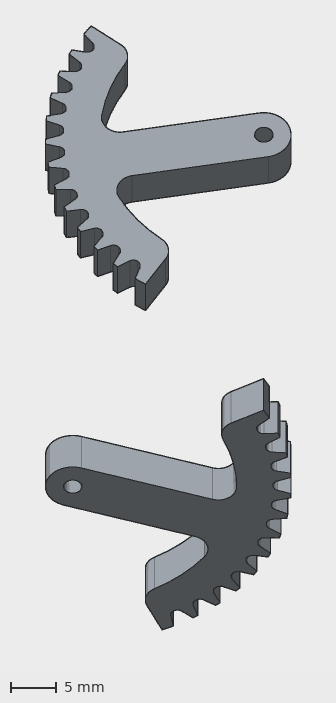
import cadquery as cq
import math

thickness = 5.0
tip_radius = 24.0
tooth_depth = 2.0
root_radius = tip_radius - tooth_depth
rim_inner_radius = 18.0
gear_tooth_count = 48
gap_count = 12
tooth_pitch = 360.0 / gear_tooth_count
end_margin = 2.5
sector_angle = gap_count * tooth_pitch + 2 * end_margin
arm_direction = 225.0

arm_half_width = 3.0
pivot_hole_diameter = 2.0

gap_root_half_width = 0.53
flank_angle = 20.0
gap_root_fillet = 0.75
gap_overrun = 0.5

rim_corner_fillet = 2.0
arm_base_fillet = 2.0


def polar(radius, angle):
    return (radius * math.cos(math.radians(angle)), radius * math.sin(math.radians(angle)))


def make_rim():
    """Annular sector centred on the -X axis, with rounded inner corners."""
    start = 180.0 - sector_angle / 2
    end = 180.0 + sector_angle / 2
    rim = (
        cq.Workplane("XY")
        .moveTo(*polar(rim_inner_radius, start))
        .lineTo(*polar(tip_radius, start))
        .threePointArc((-tip_radius, 0), polar(tip_radius, end))
        .lineTo(*polar(rim_inner_radius, end))
        .threePointArc((-rim_inner_radius, 0), polar(rim_inner_radius, start))
        .close()
        .extrude(thickness)
    )
    for angle in (start, end):
        x, y = polar(rim_inner_radius, angle)
        corner = cq.selectors.NearestToPointSelector((x, y, thickness / 2))
        rim = rim.edges("|Z").edges(corner).fillet(rim_corner_fillet)
    return rim


def make_arm():
    """Straight arm along -X with a round pivot end, reaching into the rim."""
    reach = (rim_inner_radius + root_radius) / 2
    return (
        cq.Workplane("XY")
        .moveTo(-reach, arm_half_width)
        .lineTo(0, arm_half_width)
        .threePointArc((arm_half_width, 0), (0, -arm_half_width))
        .lineTo(-reach, -arm_half_width)
        .close()
        .extrude(thickness)
    )


def fillet_arm_base(body):
    """Round the two inside corners where the arm meets the rim."""
    base_x = -math.sqrt(rim_inner_radius**2 - arm_half_width**2)
    for side in (1, -1):
        corner = cq.selectors.NearestToPointSelector((base_x, side * arm_half_width, thickness / 2))
        body = body.edges("|Z").edges(corner).fillet(arm_base_fillet)
    return body


def make_gap():
    """Cutter for one tooth gap on the -X axis: straight flanks and a rounded root."""
    length = tooth_depth + gap_overrun
    mouth_half_width = gap_root_half_width + length * math.tan(math.radians(flank_angle))
    return (
        cq.Workplane("XY")
        .moveTo(-root_radius, gap_root_half_width)
        .lineTo(-root_radius, -gap_root_half_width)
        .lineTo(-root_radius - length, -mouth_half_width)
        .lineTo(-root_radius - length, mouth_half_width)
        .close()
        .extrude(thickness)
        .edges("|Z and >X")
        .fillet(gap_root_fillet)
    )


def cut_gaps(body):
    """Cut the row of tooth gaps, centred on the arm."""
    gap = make_gap()
    for index in range(gap_count):
        angle = (index - (gap_count - 1) / 2) * tooth_pitch
        body = body.cut(gap.rotate((0, 0, 0), (0, 0, 1), angle))
    return body


def cut_pivot_hole(body):
    return body.cut(cq.Workplane("XY").circle(pivot_hole_diameter / 2).extrude(thickness))


lever = fillet_arm_base(make_rim().union(make_arm()))
lever = cut_pivot_hole(cut_gaps(lever))
result = lever.rotate((0, 0, 0), (0, 0, 1), arm_direction - 180.0)